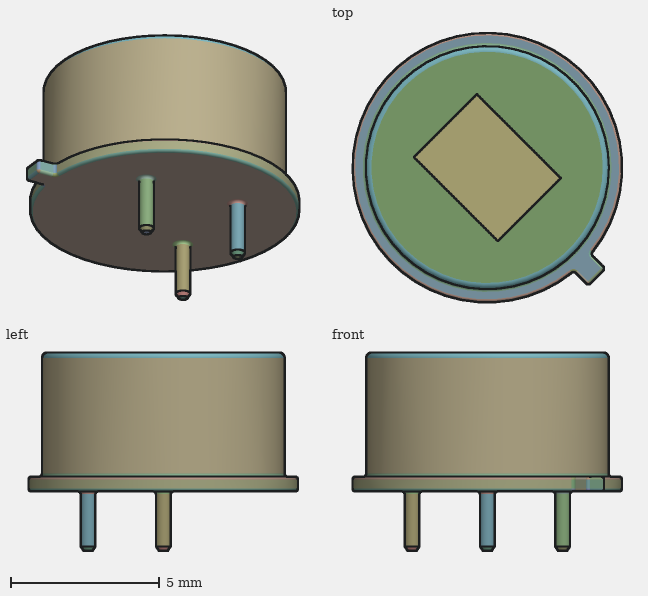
import cadquery as cq
import math

flange_diameter = 9.1
flange_thickness = 0.5
edge_round = 0.1

tab_angle = -45.0
tab_reach = 5.22
tab_width = 0.82
tab_root_radius = 0.1
tab_corner_radius = 0.1

can_diameter = 8.2
can_height = 4.195
can_top_round = 0.2
can_foot_round = 0.1
can_top_z = flange_thickness + can_height

window_length = 4.0
window_width = 3.0
window_thickness = 0.2

pin_diameter = 0.5
pin_length = 2.0
pin_circle_radius = 2.54
pin_angles = (0.0, 90.0, 180.0)
pin_root_round = 0.1
pin_tip_height = 0.155
pin_tip_inset = 0.1


def make_flange():
    """Disc with a locating tab, rounded along its top and bottom edges."""
    disc = cq.Workplane("XY").circle(flange_diameter / 2).extrude(flange_thickness)
    tab = (
        cq.Workplane("XY")
        .center(tab_reach / 2, 0)
        .rect(tab_reach, tab_width)
        .extrude(flange_thickness)
        .edges("|Z and >X")
        .fillet(tab_corner_radius)
    )
    root_x = math.sqrt((flange_diameter / 2) ** 2 - (tab_width / 2) ** 2)
    flange = disc.union(tab)
    for side in (-1, 1):
        root_point = (root_x, side * tab_width / 2, flange_thickness / 2)
        flange = flange.edges(cq.NearestToPointSelector(root_point)).fillet(tab_root_radius)
    flange = flange.faces("<Z or >Z").edges().fillet(edge_round)
    return flange.rotate((0, 0, 0), (0, 0, 1), tab_angle)


def make_can():
    """Revolved can with a rounded top rim and a concave round where it meets the flange."""
    radius = can_diameter / 2
    diagonal = math.sqrt(0.5)
    foot_top_z = flange_thickness + can_foot_round
    foot_mid = (
        radius + can_foot_round * (1 - diagonal),
        flange_thickness + can_foot_round * (1 - diagonal),
    )
    rim_mid = (
        radius - can_top_round * (1 - diagonal),
        can_top_z - can_top_round * (1 - diagonal),
    )
    return (
        cq.Workplane("XZ")
        .moveTo(0, flange_thickness)
        .lineTo(radius + can_foot_round, flange_thickness)
        .threePointArc(foot_mid, (radius, foot_top_z))
        .lineTo(radius, can_top_z - can_top_round)
        .threePointArc(rim_mid, (radius - can_top_round, can_top_z))
        .lineTo(0, can_top_z)
        .close()
        .revolve(360, (0, 0), (0, 1))
    )


def make_pin(angle):
    """Pin below the flange with a flared root and a tapered tip, turned to its place."""
    radius = pin_diameter / 2
    flare_step = pin_root_round * (1 - math.sqrt(0.5))
    pin = (
        cq.Workplane("XZ")
        .lineTo(radius + pin_root_round, 0)
        .threePointArc((radius + flare_step, -flare_step), (radius, -pin_root_round))
        .lineTo(radius, pin_tip_height - pin_length)
        .lineTo(radius - pin_tip_inset, -pin_length)
        .lineTo(0, -pin_length)
        .close()
        .revolve(360, (0, 0), (0, 1))
    )
    return pin.translate((pin_circle_radius, 0, 0)).rotate((0, 0, 0), (0, 0, 1), angle)


def make_window():
    """Rectangular plate whose upper face is level with the top of the can."""
    return (
        cq.Workplane("XY")
        .workplane(offset=can_top_z - window_thickness)
        .rect(window_length, window_width)
        .extrude(window_thickness)
        .rotate((0, 0, 0), (0, 0, 1), tab_angle)
    )


def make_housing(window):
    """Flange, can and pins as one solid, with a recess that fits the window."""
    housing = make_flange().union(make_can())
    for angle in pin_angles:
        housing = housing.union(make_pin(angle))
    return housing.cut(window)


window = make_window()
housing = make_housing(window)

result = cq.Compound.makeCompound([housing.val(), window.val()])